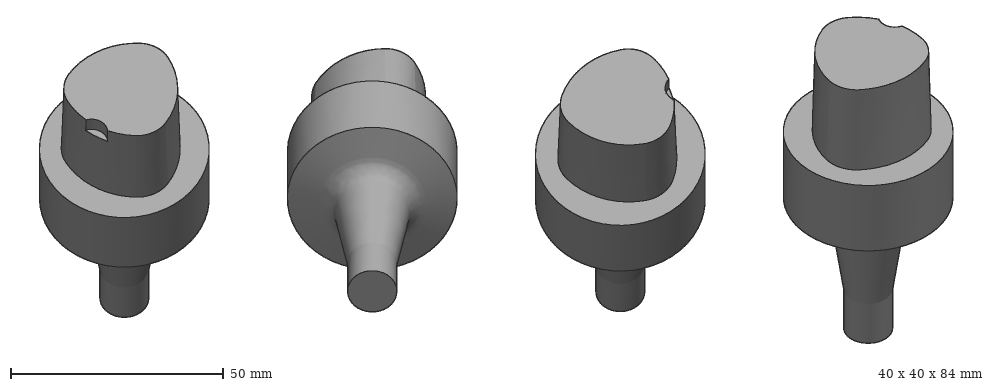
import cadquery as cq
import math

flange_diameter = 40.0
flange_height = 20.0

shank_height = 24.0
shank_width = 28.05
lobe_center_radius = 6.34
lobe_angles = (90, 210, 330)
lobe_spacing = 120
lobe_half_span = 30
shank_taper = 1 / 20

notch_radius = 3.8
notch_floor_y = -10.9
notch_height = 4.1

cone_angle = 15.0
neck_angle = 8.0
neck_fillet = 5.2

pin_diameter = 11.6
pin_length = 12.0
overall_height = 84.0

bottom_z = shank_height - overall_height
pin_top_z = bottom_z + pin_length


def polar(radius, angle):
    """Point at an angle in degrees around the axis."""
    return (radius * math.cos(math.radians(angle)), radius * math.sin(math.radians(angle)))


def lobed_outline(z, width):
    """Constant-width outline of three lobe arcs joined tangentially by three flatter arcs."""
    lobe_radius = (width - math.sqrt(3) * lobe_center_radius) / 2
    flat_radius = width - lobe_radius

    def lobe_point(lobe_angle, normal_angle):
        center = polar(lobe_center_radius, lobe_angle)
        offset = polar(lobe_radius, normal_angle)
        return (center[0] + offset[0], center[1] + offset[1])

    start = lobe_point(lobe_angles[0], lobe_angles[0] - lobe_half_span)
    outline = cq.Workplane("XY").workplane(offset=z).moveTo(*start)
    for lobe_angle in lobe_angles:
        next_lobe = lobe_angle + lobe_spacing
        outline = outline.threePointArc(
            lobe_point(lobe_angle, lobe_angle),
            lobe_point(lobe_angle, lobe_angle + lobe_half_span),
        )
        outline = outline.threePointArc(
            polar(flat_radius - lobe_center_radius, lobe_angle + lobe_spacing / 2),
            lobe_point(next_lobe, next_lobe - lobe_half_span),
        )
    return outline.close().val()


def make_shank():
    top_width = shank_width - shank_taper * shank_height
    base = lobed_outline(0, shank_width)
    top = lobed_outline(shank_height, top_width)
    return cq.Workplane(cq.Solid.makeLoft([base, top], True))


def make_notch():
    return (
        cq.Workplane("XY")
        .workplane(offset=shank_height - notch_height)
        .center(0, notch_floor_y - notch_radius)
        .circle(notch_radius)
        .extrude(notch_height)
    )


def make_turned_body():
    """Flange, conical underside, tapered neck and pin, revolved about Z."""
    flange_radius = flange_diameter / 2
    pin_radius = pin_diameter / 2
    cone_slope = math.tan(math.radians(cone_angle))
    neck_slope = math.tan(math.radians(neck_angle))

    cone_apex_z = -flange_height - flange_radius * cone_slope
    neck_top_radius = (pin_radius + neck_slope * (cone_apex_z - pin_top_z)) / (1 - neck_slope * cone_slope)
    neck_top_z = cone_apex_z + neck_top_radius * cone_slope

    body = (
        cq.Workplane("XZ")
        .polyline(
            [
                (0, 0),
                (flange_radius, 0),
                (flange_radius, -flange_height),
                (neck_top_radius, neck_top_z),
                (pin_radius, pin_top_z),
                (pin_radius, bottom_z),
                (0, bottom_z),
            ]
        )
        .close()
        .revolve(360, (0, 0, 0), (0, 1, 0))
    )
    neck_corner = cq.selectors.RadiusNthSelector(1)
    return body.edges("%CIRCLE").edges(neck_corner).fillet(neck_fillet)


result = make_turned_body().union(make_shank()).cut(make_notch())